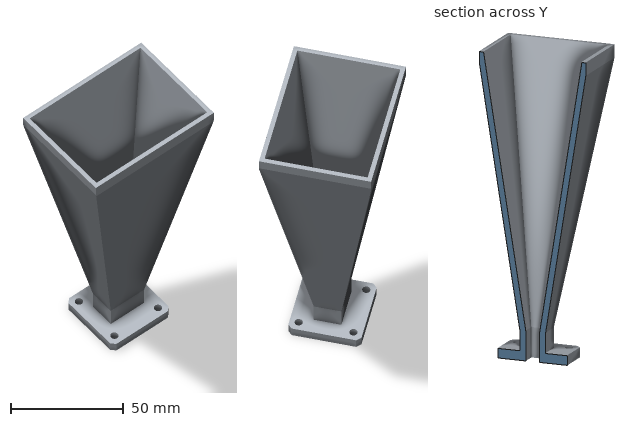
import cadquery as cq

total_height = 140.0
mouth_x = 51.1
mouth_y = 67.5

bore_x = 6.5
bore_y = 12.9
wall = 3.1
neck_x = bore_x + 2 * wall
neck_y = bore_y + 2 * wall
neck_top = 14.0

flange_side = 33.3
flange_thickness = 4.6
corner_chamfer = 2.0
hole_spacing = 24.9
hole_diameter = 3.6

rim_wall = 2.1


def loft_between(bottom_size, bottom_z, top_size, top_z):
    """Straight-sided rectangular frustum between two heights."""
    return (
        cq.Workplane("XY", origin=(0, 0, bottom_z))
        .rect(*bottom_size)
        .workplane(offset=top_z - bottom_z)
        .rect(*top_size)
        .loft(ruled=True)
    )


def make_flange():
    return (
        cq.Workplane("XY")
        .rect(flange_side, flange_side)
        .extrude(flange_thickness)
        .edges("|Z")
        .chamfer(corner_chamfer)
        .faces(">Z")
        .workplane()
        .rect(hole_spacing, hole_spacing, forConstruction=True)
        .vertices()
        .hole(hole_diameter)
    )


neck = cq.Workplane("XY").rect(neck_x, neck_y).extrude(neck_top)
bore = cq.Workplane("XY").rect(bore_x, bore_y).extrude(neck_top)

opening_x = mouth_x - 2 * rim_wall
opening_y = mouth_y - 2 * rim_wall
flare = loft_between((bore_x, bore_y), neck_top, (opening_x, opening_y), total_height)
horn_top = (opening_x + 2 * wall, opening_y + 2 * wall)
horn = loft_between((neck_x, neck_y), neck_top, horn_top, total_height)

mouth_envelope = cq.Workplane("XY").rect(mouth_x, mouth_y).extrude(total_height)
horn = horn.intersect(mouth_envelope)

result = make_flange().union(neck).union(horn).cut(bore).cut(flare)